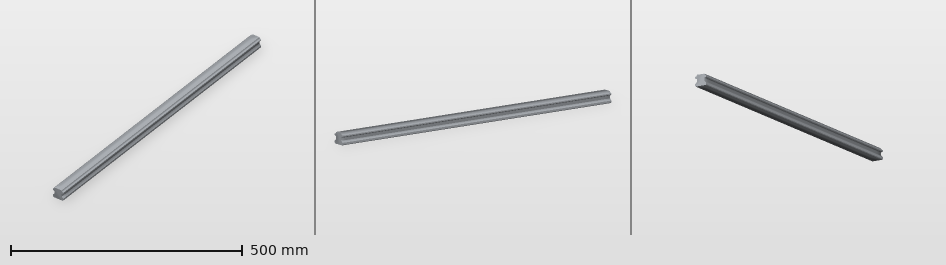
import cadquery as cq

rail_length = 720.0
rail_width = 28.0
rail_height = 26.0

base_chamfer = 1.5
foot_side_top = 5.8

neck_width = 19.0
neck_bottom = 9.9
neck_top = 14.0

top_flat_width = 18.6
head_side_bottom = 19.1
head_side_top = 21.6

lower_raceway_inner = (9.6, 16.3)
lower_raceway_outer = (12.5, 17.5)
lower_raceway_depth = 0.3
upper_raceway_outer = (12.3, 22.4)
upper_raceway_inner = (9.9, 24.4)
upper_raceway_depth = 0.4


def deepest_point(start, end, depth):
    """Point on a raceway farthest inside the head, `depth` from the middle of its chord."""
    chord = cq.Vector(*end) - cq.Vector(*start)
    inward = cq.Vector(-chord.y, chord.x).normalized()
    deepest = cq.Vector(*start) + chord / 2 + inward * depth
    return (deepest.x, deepest.y)


def make_half_section():
    """Closed outline of the +X half of the section, drawn upwards from the base."""
    half_width = rail_width / 2
    half_neck = neck_width / 2
    lower_middle = deepest_point(lower_raceway_inner, lower_raceway_outer, lower_raceway_depth)
    upper_middle = deepest_point(upper_raceway_outer, upper_raceway_inner, upper_raceway_depth)

    return (
        cq.Workplane("XZ")
        .moveTo(0, 0)
        .lineTo(half_width - base_chamfer, 0)
        .lineTo(half_width, base_chamfer)
        .lineTo(half_width, foot_side_top)
        .lineTo(half_neck, neck_bottom)
        .lineTo(half_neck, neck_top)
        .lineTo(*lower_raceway_inner)
        .threePointArc(lower_middle, lower_raceway_outer)
        .lineTo(half_width, head_side_bottom)
        .lineTo(half_width, head_side_top)
        .lineTo(*upper_raceway_outer)
        .threePointArc(upper_middle, upper_raceway_inner)
        .lineTo(top_flat_width / 2, rail_height)
        .lineTo(0, rail_height)
        .close()
    )


def make_rail():
    """Extrude half the section along Y and mirror it across X = 0."""
    half_rail = make_half_section().extrude(rail_length / 2, both=True)
    return half_rail.union(half_rail.mirror("YZ")).clean()


result = make_rail()